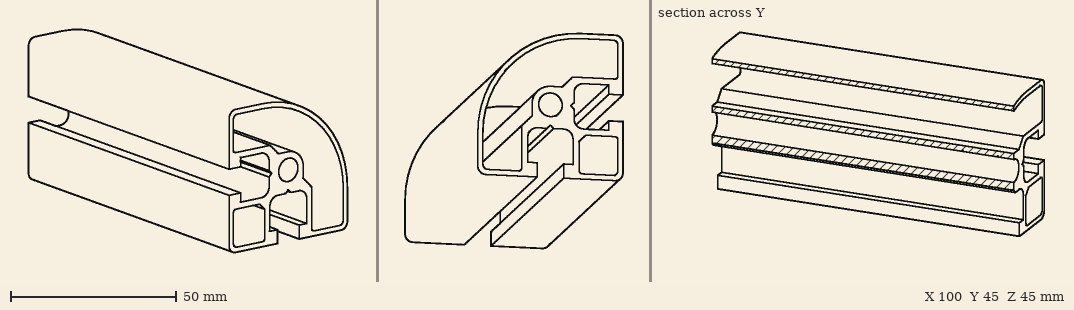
import cadquery as cq
import math

length = 100.0
side = 45.0
half = side / 2

wall = 1.6
shell_radius = 32.0
edge_radius = 2.5
cavity_radius = 1.5
web_corner_radius = 1.0
inner = half - wall

slot_opening = 8.2
slot_width = 14.0
slot_depth = 15.2
lip_thickness = 4.4
slot_radius = 3.0
slot_wall = 1.9
notch_size = 1.0

bore_diameter = 7.3
boss_radius = 5.7
boss_flat_end = 3.7

chamber_chamfer = 2.0

web_face = slot_width / 2 + slot_wall
diagonal_share = math.sqrt(0.5)


def extrude(sketch):
    """Extrude a closed YZ outline along the whole profile."""
    return sketch.extrude(length / 2, both=True)


def rounded_quadrant(face, corner_radius, arc_radius):
    """Square bar with one large rounded edge and three small ones."""
    bar = extrude(cq.Workplane("YZ").rect(2 * face, 2 * face))
    bar = bar.edges("|X and (<Y or <Z)").fillet(corner_radius)
    return bar.edges("|X and >Y and >Z").fillet(arc_radius)


def curved_cavity():
    """Hollow between the curved wall and the core, symmetric about Y = Z."""
    shoulder = boss_flat_end + web_face - boss_radius
    boss_tip = boss_radius * diagonal_share
    keep_out = extrude(
        cq.Workplane("YZ")
        .moveTo(-half, -half)
        .lineTo(web_face, -half)
        .lineTo(web_face, -shoulder)
        .lineTo(boss_radius, -boss_flat_end)
        .lineTo(boss_radius, 0)
        .threePointArc((boss_tip, boss_tip), (0, boss_radius))
        .lineTo(-boss_flat_end, boss_radius)
        .lineTo(-shoulder, web_face)
        .lineTo(-half, web_face)
        .close()
    )
    inside = rounded_quadrant(inner, cavity_radius, shell_radius - wall)
    cavity = inside.cut(keep_out)
    reach = inner - wall
    web_corners = cq.selectors.BoxSelector(
        (-length, -inner - wall, web_face - wall / 2), (length, -reach, web_face + wall / 2)
    ) + cq.selectors.BoxSelector(
        (-length, web_face - wall / 2, -inner - wall), (length, web_face + wall / 2, -reach)
    )
    return cavity.edges("|X").edges(web_corners).fillet(web_corner_radius)


def corner_chamber():
    """Closed square chamber between the two slots."""
    width = inner - web_face
    center = -(inner + web_face) / 2
    chamber = extrude(cq.Workplane("YZ").center(center, center).rect(width, width))
    chamber = chamber.edges("|X and <Y and <Z").fillet(cavity_radius)
    chamber = chamber.edges("|X and ((<Y and >Z) or (>Y and <Z))").fillet(web_corner_radius)
    return chamber.edges("|X and >Y and >Z").chamfer(chamber_chamfer)


def bottom_slot():
    """T-slot open towards -Z, with a V notch along its floor."""
    floor = slot_depth - half
    lip_top = lip_thickness - half
    height = floor - lip_top
    channel = extrude(cq.Workplane("YZ").center(0, lip_top + height / 2).rect(slot_width, height))
    channel = channel.edges("|X and >Z").fillet(slot_radius)
    opening = extrude(
        cq.Workplane("YZ").center(0, lip_top - lip_thickness / 2).rect(slot_opening, lip_thickness)
    )
    notch = extrude(
        cq.Workplane("YZ")
        .moveTo(-notch_size, floor)
        .lineTo(0, floor + notch_size)
        .lineTo(notch_size, floor)
        .close()
    )
    return channel.union(opening).union(notch)


slot = bottom_slot()
side_slot = slot.rotate((0, 0, 0), (1, 0, 0), -90)
bore = extrude(cq.Workplane("YZ").circle(bore_diameter / 2))

result = rounded_quadrant(half, edge_radius, shell_radius)
for void in (curved_cavity(), corner_chamber(), slot, side_slot, bore):
    result = result.cut(void)